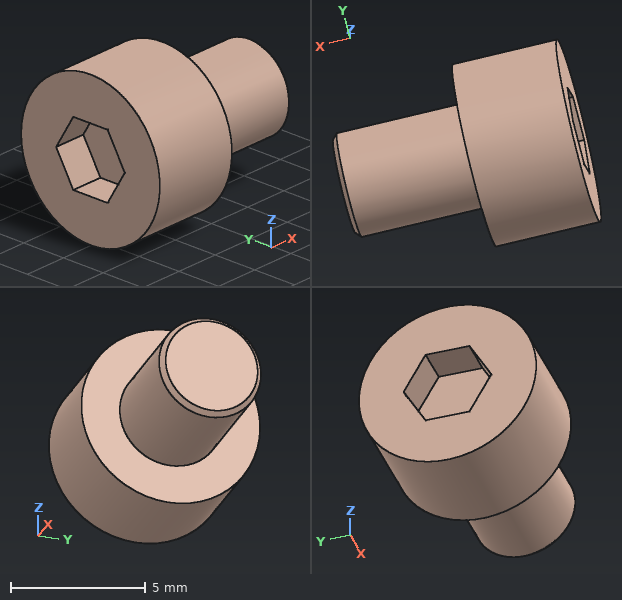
import cadquery as cq
import math

total_length = 9.0
head_length = 4.0
head_diameter = 7.0
shank_diameter = 4.0
tip_chamfer = 0.2
socket_across_flats = 3.0
socket_depth = 1.5

shank_length = total_length - head_length
socket_across_corners = socket_across_flats / math.cos(math.pi / 6)

head = cq.Workplane("YZ").circle(head_diameter / 2).extrude(head_length)
shank = (
    cq.Workplane("YZ", origin=(head_length, 0, 0))
    .circle(shank_diameter / 2)
    .extrude(shank_length)
    .faces(">X")
    .chamfer(tip_chamfer)
)

socket = cq.Workplane("YZ").polygon(6, socket_across_corners).extrude(socket_depth)

result = head.union(shank).cut(socket)